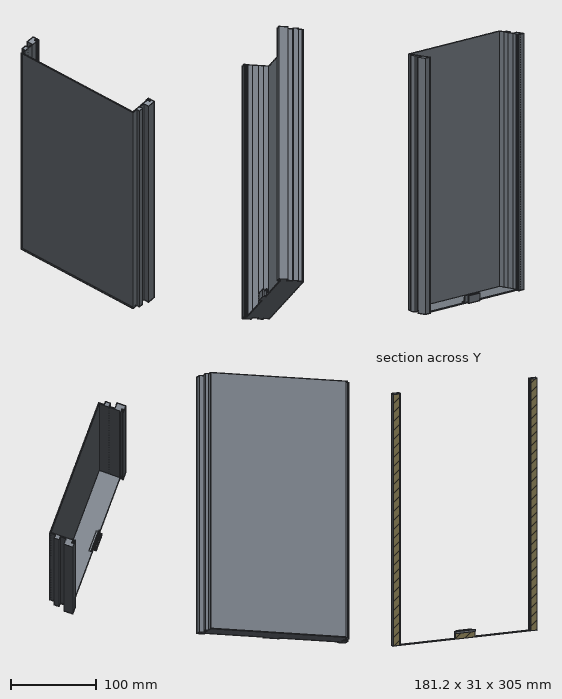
import cadquery as cq

width = 181.2
depth = 31.0
height = 305.0
front_y = -depth / 2
back_y = depth / 2

sheet = 1.2
panel_half_width = 83.5
wall_back_y = back_y - 3.0

rail_depth = 11.0
slot_front = 3.0
slot_reach = 5.0
lip_reach = 9.0
lip_thickness = 1.2
wall_hem_depth = 1.5

rib_half_width = 87.5
rib_back_y = back_y - 18.0
rib_depth = 6.0

floor_back_y = back_y - 4.0
latch_width = 25.5
latch_depth = 4.3
latch_height = 9.0
ramp_run = 2.5
ramp_height = 2.7
catch_crest = 1.0
tab_width = 19.5
tab_thickness = 1.8
tab_back_y = back_y - 0.3


def block(x_min, x_max, y_min, y_max, z_height=height):
    """Upright box standing on the bottom plane."""
    return (
        cq.Workplane("XY")
        .box(x_max - x_min, y_max - y_min, z_height, centered=False)
        .translate((x_min, y_min, -height / 2))
    )


def right_side():
    """Side wall with its slotted rear rail and its rib."""
    outer = width / 2
    inner = panel_half_width - sheet
    wall = block(inner, panel_half_width, front_y, wall_back_y)
    rail = block(inner, outer, back_y - rail_depth, back_y)
    slot = block(inner, outer - slot_reach, wall_back_y, back_y)
    lip = block(outer - lip_reach, outer - slot_reach, back_y - lip_thickness, back_y)
    hem = block(outer - lip_reach, inner, back_y - slot_front - wall_hem_depth, wall_back_y)
    rib = block(inner, rib_half_width, rib_back_y - rib_depth, rib_back_y)
    return wall.union(rail).cut(slot).union(lip).union(hem).union(rib)


def latch():
    """Catch that steepens toward the floor's rear edge, with a tab behind it."""
    half = latch_width / 2
    front = floor_back_y - latch_depth
    base = -height / 2
    catch = (
        cq.Workplane("YZ")
        .moveTo(front, base)
        .lineTo(front, base + sheet)
        .lineTo(front + ramp_run, base + ramp_height)
        .lineTo(floor_back_y - catch_crest, base + latch_height)
        .lineTo(floor_back_y, base + latch_height)
        .lineTo(floor_back_y, base)
        .close()
        .extrude(half, both=True)
    )
    tab_half = tab_width / 2
    foot = block(-tab_half, tab_half, front, tab_back_y, sheet)
    tab = block(-tab_half, tab_half, tab_back_y - tab_thickness, tab_back_y, latch_height)
    return catch.union(foot).union(tab)


panel = block(-panel_half_width, panel_half_width, front_y, front_y + sheet)
floor = block(-panel_half_width + sheet, panel_half_width - sheet, front_y, floor_back_y, sheet)
side = right_side()

result = panel.union(floor).union(side).union(side.mirror("YZ")).union(latch())